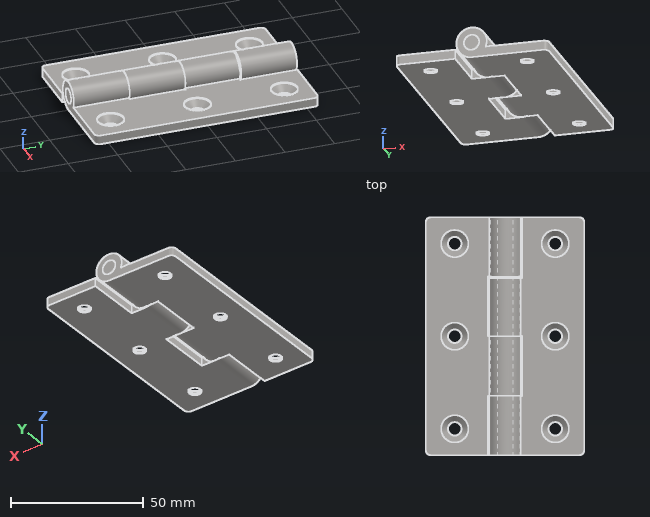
import cadquery as cq

hinge_length = 90.0
hinge_width = 60.0
leaf_thickness = 3.75
corner_radius = 2.0

knuckle_radius = 6.0
pin_radius = 3.0
washer_radius = 5.25
washer_thickness = 0.5
notch_half_width = 6.4

hole_x = 19.0
hole_pitch = 35.0
hole_diameter = 5.0
head_diameter = 10.3
head_lip_depth = 0.4

half_length = hinge_length / 2
half_width = hinge_width / 2
knuckle_pitch = hinge_length / 4
axis_z = knuckle_radius

second_start = -knuckle_pitch
third_start = 0.0
washer_end = knuckle_pitch
washer_start = washer_end - washer_thickness

right_knuckles = [(-half_length, second_start), (third_start, washer_start)]
right_notches = [(second_start, third_start), (washer_start, half_length)]
left_knuckles = [(second_start, third_start), (washer_end, half_length)]
left_notches = [(-half_length, second_start), (third_start, washer_end)]


def barrel_cylinder(radius, y_start, y_end):
    """Cylinder on the hinge axis between two Y stations."""
    return (
        cq.Workplane("XZ", origin=(0, y_start, axis_z))
        .circle(radius)
        .extrude(y_start - y_end)
    )


def notch_cutter(y_start, y_end):
    """Full-height clearance around a knuckle of the opposite leaf."""
    return cq.Workplane("XY").box(
        2 * notch_half_width, y_end - y_start, 2 * knuckle_radius, centered=(True, False, False)
    ).translate((0, y_start, 0))


def screw_hole_cutter(x, y):
    """Through hole with a 90 degree countersink below a short straight lip."""
    hole_radius = hole_diameter / 2
    head_radius = head_diameter / 2
    cone_top = leaf_thickness - head_lip_depth
    cone_bottom = cone_top - (head_radius - hole_radius)
    profile = [
        (0, 0),
        (hole_radius, 0),
        (hole_radius, cone_bottom),
        (head_radius, cone_top),
        (head_radius, leaf_thickness),
        (0, leaf_thickness),
    ]
    return (
        cq.Workplane("XZ")
        .polyline(profile)
        .close()
        .revolve(360, (0, 0, 0), (0, 1, 0))
        .translate((x, y, 0))
    )


def make_leaf(side, knuckles, notches):
    """One leaf with its knuckles; side is +1 for the +X leaf and -1 for the -X leaf."""
    leaf = (
        cq.Workplane("XY")
        .box(half_width, hinge_length, leaf_thickness, centered=(True, True, False))
        .translate((side * half_width / 2, 0, 0))
        .edges("|Z and " + (">X" if side > 0 else "<X"))
        .fillet(corner_radius)
    )
    for y_start, y_end in notches:
        leaf = leaf.cut(notch_cutter(y_start, y_end))
    for y_start, y_end in knuckles:
        leaf = leaf.union(barrel_cylinder(knuckle_radius, y_start, y_end))
    for row in (-1, 0, 1):
        leaf = leaf.cut(screw_hole_cutter(side * hole_x, row * hole_pitch))
    return leaf.cut(barrel_cylinder(pin_radius, -half_length, half_length))


right_leaf = make_leaf(1, right_knuckles, right_notches)
left_leaf = make_leaf(-1, left_knuckles, left_notches)

pin = barrel_cylinder(pin_radius, -half_length, half_length)

washer = barrel_cylinder(washer_radius, washer_start, washer_end).cut(pin)

result = cq.Compound.makeCompound([right_leaf.val(), left_leaf.val(), pin.val(), washer.val()])